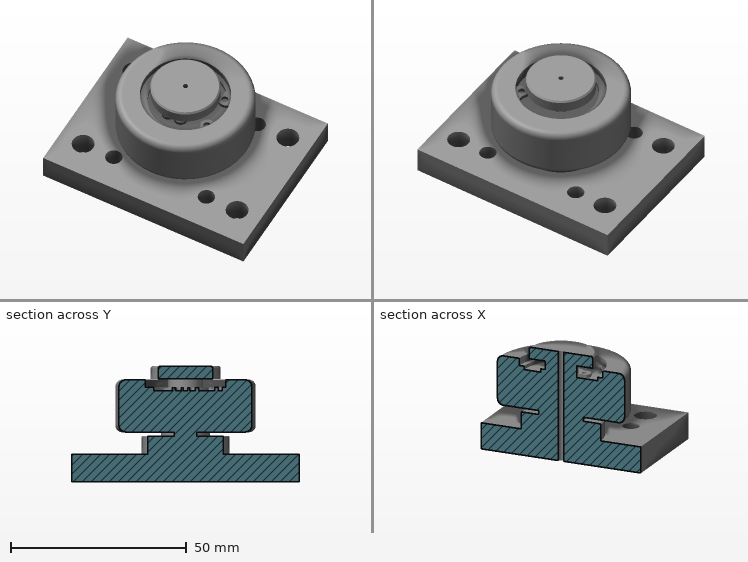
import cadquery as cq

plate_length = 65.0
plate_width = 50.0
plate_thickness = 8.0
outer_hole_diameter = 6.5
inner_hole_diameter = 4.95
outer_hole_spacing_x = 50.0
inner_hole_spacing_x = 30.0
hole_spacing_y = 30.0

flange_diameter = 25.0
flange_top = 13.1
flange_chamfer = 0.25
neck_diameter = 14.0

roller_diameter = 40.0
roller_bottom = 14.2
roller_top = 29.2
roller_edge_radius = 2.0
recess_diameter = 26.0
recess_floor = 26.0

shank_diameter = 10.0
head_diameter = 20.0
head_bottom = 29.4
head_top = 33.0
head_chamfer = 0.45
bore_diameter = 1.5

ring_top = 27.05
ring_inner_diameter = 22.9
ring_inner_offset = 0.7
ring_end_x = 8.6
lug_hole_x = 9.9
lug_hole_y = 5.3
lug_hole_diameter = 2.0
lug_radius = 2.1
lug_shoulder_y = 7.0
lug_tip = (12.2, 4.4)

shaft_ring_top = 27.0
shaft_ring_diameter = 13.0
shaft_ring_gap = 1.05
shaft_lug_x = 1.95
shaft_lug_y = -6.45
shaft_lug_diameter = 3.9
shaft_lug_hole_diameter = 1.5


def disc(diameter, bottom, top):
    return cq.Workplane("XY").workplane(offset=bottom).circle(diameter / 2).extrude(top - bottom)


def make_plate():
    plate = cq.Workplane("XY").rect(plate_length, plate_width).extrude(plate_thickness)
    hole_sets = (
        (outer_hole_spacing_x, outer_hole_diameter),
        (inner_hole_spacing_x, inner_hole_diameter),
    )
    for spacing_x, diameter in hole_sets:
        holes = (
            cq.Workplane("XY")
            .rect(spacing_x, hole_spacing_y, forConstruction=True)
            .vertices()
            .circle(diameter / 2)
            .extrude(plate_thickness)
        )
        plate = plate.cut(holes)
    return plate


def make_flange():
    flange = disc(flange_diameter, plate_thickness, flange_top)
    flange = flange.faces(">Z").edges().chamfer(flange_chamfer)
    return flange.union(disc(neck_diameter, flange_top, roller_bottom))


def make_roller():
    roller = disc(roller_diameter, roller_bottom, roller_top)
    roller = roller.faces("<Z or >Z").edges().fillet(roller_edge_radius)
    return roller.cut(disc(recess_diameter, recess_floor, roller_top))


def make_pin():
    head = disc(head_diameter, head_bottom, head_top)
    head = head.faces(">Z").edges().chamfer(head_chamfer)
    return head.union(disc(shank_diameter, recess_floor, head_bottom))


def make_lug():
    """Lug on the +Y side, still reaching past the recess wall."""
    ring_radius = recess_diameter / 2
    thickness = ring_top - recess_floor
    lug = (
        cq.Workplane("XY")
        .workplane(offset=recess_floor)
        .moveTo(ring_end_x, ring_radius)
        .lineTo(ring_end_x, lug_shoulder_y)
        .lineTo(lug_hole_x - lug_radius, lug_hole_y)
        .threePointArc((lug_hole_x, lug_hole_y - lug_radius), lug_tip)
        .lineTo(ring_radius, lug_tip[1])
        .lineTo(ring_radius, ring_radius)
        .close()
        .extrude(thickness)
    )
    hole = disc(lug_hole_diameter, recess_floor, ring_top)
    return lug.cut(hole.translate((lug_hole_x, lug_hole_y, 0)))


def make_ring():
    blank = disc(recess_diameter, recess_floor, ring_top)
    opening = disc(ring_inner_diameter, recess_floor, ring_top).translate((ring_inner_offset, 0, 0))
    end_cut = (
        cq.Workplane("XY")
        .box(recess_diameter, recess_diameter, ring_top - recess_floor, centered=(False, True, False))
        .translate((ring_end_x, 0, recess_floor))
    )
    lug = make_lug()
    lugs = lug.union(lug.mirror("XZ")).intersect(blank)
    return blank.cut(opening).cut(end_cut).union(lugs)


def make_shaft_ring():
    ring = disc(shaft_ring_diameter, recess_floor, shaft_ring_top)
    for x in (-shaft_lug_x, shaft_lug_x):
        lug = disc(shaft_lug_diameter, recess_floor, shaft_ring_top)
        ring = ring.union(lug.translate((x, shaft_lug_y, 0)))
    for x in (-shaft_lug_x, shaft_lug_x):
        hole = disc(shaft_lug_hole_diameter, recess_floor, shaft_ring_top)
        ring = ring.cut(hole.translate((x, shaft_lug_y, 0)))
    gap = (
        cq.Workplane("XY")
        .workplane(offset=recess_floor)
        .center(0, -shaft_ring_diameter / 2)
        .rect(shaft_ring_gap, shaft_ring_diameter)
        .extrude(shaft_ring_top - recess_floor)
    )
    return ring.cut(gap)


bore = disc(bore_diameter, 0, head_top)
result = (
    make_plate()
    .union(make_flange())
    .union(make_roller())
    .union(make_pin())
    .union(make_ring())
    .union(make_shaft_ring())
    .cut(bore)
)